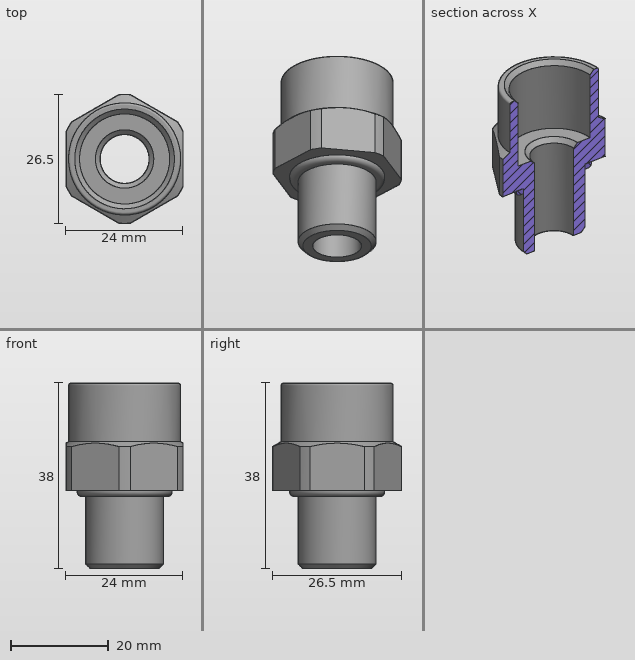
import cadquery as cq

TOTAL_HEIGHT = 38.0
HEX_BOTTOM = 16.0
HEX_TOP = 26.03

HEX_ACROSS_FLATS = 24.0
HEX_CORNER_DIAMETER = 26.5
HEX_BEVEL_HEIGHT = 1.03

SOCKET_DIAMETER = 23.0
SOCKET_RIM_FILLET = 0.5
SOCKET_BORE_DIAMETER = 18.45
SOCKET_BORE_DEPTH = 16.0
SOCKET_MOUTH_CHAMFER = 1.0

SPIGOT_DIAMETER = 16.0
SPIGOT_CHAMFER = 1.0
BORE_DIAMETER = 10.0
BORE_CHAMFER = 1.0

RING_DIAMETER = 19.5
RING_HEIGHT = 1.2
RING_FILLET = 1.0


def cylinder(diameter, bottom, top):
    """Upright cylinder on the Z axis."""
    return cq.Workplane("XY", origin=(0, 0, bottom)).circle(diameter / 2).extrude(top - bottom)


def make_hexagon():
    """Hexagon with flats facing +X and -X, turned corners and a conical top bevel."""
    hexagon = (
        cq.Workplane("XY", origin=(0, 0, HEX_BOTTOM))
        .polygon(6, HEX_ACROSS_FLATS, circumscribed=True)
        .extrude(HEX_TOP - HEX_BOTTOM)
    )
    bevel_width = (HEX_CORNER_DIAMETER - SOCKET_DIAMETER) / 2
    turned_blank = (
        cylinder(HEX_CORNER_DIAMETER, HEX_BOTTOM, HEX_TOP)
        .faces(">Z")
        .edges()
        .chamfer(HEX_BEVEL_HEIGHT, bevel_width)
    )
    return hexagon.intersect(turned_blank)


def make_socket():
    """Round outer wall of the socket with a rounded rim."""
    return cylinder(SOCKET_DIAMETER, HEX_TOP, TOTAL_HEIGHT).faces(">Z").edges().fillet(SOCKET_RIM_FILLET)


def make_spigot():
    """Round spigot with a chamfered free end."""
    return cylinder(SPIGOT_DIAMETER, 0, HEX_BOTTOM).faces("<Z").edges().chamfer(SPIGOT_CHAMFER)


def make_bore_profile():
    """Stepped cavity: through bore, chamfered shoulder, wide socket and flared mouth."""
    bore_radius = BORE_DIAMETER / 2
    socket_radius = SOCKET_BORE_DIAMETER / 2
    shoulder = TOTAL_HEIGHT - SOCKET_BORE_DEPTH
    return (
        cq.Workplane("XZ")
        .moveTo(0, 0)
        .lineTo(bore_radius, 0)
        .lineTo(bore_radius, shoulder - BORE_CHAMFER)
        .lineTo(bore_radius + BORE_CHAMFER, shoulder)
        .lineTo(socket_radius, shoulder)
        .lineTo(socket_radius, TOTAL_HEIGHT - SOCKET_MOUTH_CHAMFER)
        .lineTo(socket_radius + SOCKET_MOUTH_CHAMFER, TOTAL_HEIGHT)
        .lineTo(0, TOTAL_HEIGHT)
        .close()
    )


def make_fitting():
    """Complete fitting: spigot, hexagon and socket with the stepped cavity removed."""
    cavity = make_bore_profile().revolve(360, (0, 0, 0), (0, 1, 0))
    return make_spigot().union(make_hexagon()).union(make_socket()).cut(cavity)


def make_seal_ring():
    """Seal ring with a rounded lower outer edge."""
    ring_bottom = HEX_BOTTOM - RING_HEIGHT
    disc = cylinder(RING_DIAMETER, ring_bottom, HEX_BOTTOM).faces("<Z").edges().fillet(RING_FILLET)
    return disc.cut(cylinder(SPIGOT_DIAMETER, ring_bottom, HEX_BOTTOM))


fitting = make_fitting()
seal_ring = make_seal_ring()

result = cq.Compound.makeCompound([fitting.val(), seal_ring.val()])